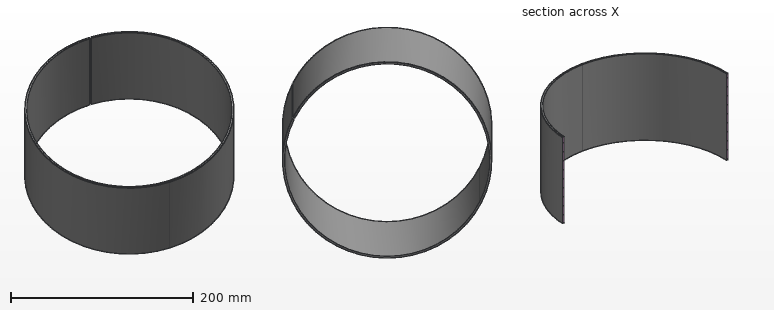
import cadquery as cq

outer_diameter = 230.0
wall_thickness = 2.5
height = 110.0
outer_chamfer = 0.5
inner_chamfer = 0.2
slit_width = 2.0
cutter_length = 10.0

outer_radius = outer_diameter / 2
inner_radius = outer_radius - wall_thickness


def make_ring():
    """Thin-walled ring about Z, standing on the XY plane, with both rims chamfered outside and inside."""
    wall_section = (
        cq.Workplane("XZ")
        .moveTo(outer_radius, outer_chamfer)
        .lineTo(outer_radius, height - outer_chamfer)
        .lineTo(outer_radius - outer_chamfer, height)
        .lineTo(inner_radius + inner_chamfer, height)
        .lineTo(inner_radius, height - inner_chamfer)
        .lineTo(inner_radius, inner_chamfer)
        .lineTo(inner_radius + inner_chamfer, 0)
        .lineTo(outer_radius - outer_chamfer, 0)
        .close()
    )
    axis_start = (0, 0)
    axis_end = (0, 1)
    return wall_section.revolve(360, axis_start, axis_end)


def make_slit_cutter():
    """Full-height block through the -X wall, reaching from the XZ plane toward +Y."""
    return (
        cq.Workplane("XY")
        .center(-outer_radius, slit_width / 2)
        .rect(cutter_length, slit_width)
        .extrude(height)
    )


result = make_ring().cut(make_slit_cutter())